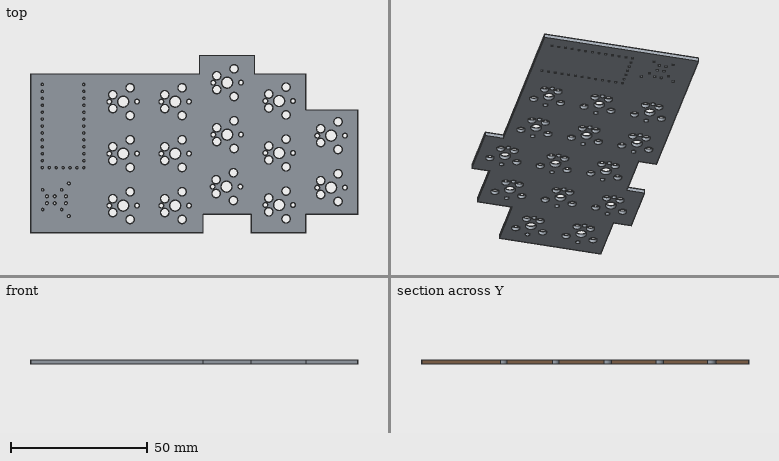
import cadquery as cq

length = 120.0
width = 65.0
thickness = 1.5

key_pitch = length / 6.3
grid = key_pitch / 15

main_top = 58.2
tab_left = 61.9
tab_right = 82.1
notch_left = 63.2
notch_right = 80.9
step_x = 100.9
step_bottom = 6.7
step_top = 45.0

stem_diameter = 4.0
contact_diameter = 3.0
peg_diameter = 1.7
peg_offset = 4 * grid
near_contact_x = -3 * grid
near_contact_y = 2 * grid
far_contact_x = 2 * grid
far_contact_y = 4 * grid

column_1_x = 34.0
bottom_left_key_y = 10.0
key_columns = [
    (column_1_x, bottom_left_key_y, 3),
    (column_1_x + key_pitch, bottom_left_key_y, 3),
    (column_1_x + 2 * key_pitch, 16.9, 3),
    (column_1_x + 3 * key_pitch, 10.2, 3),
    (column_1_x + 4 * key_pitch, 16.5, 2),
]
shifted_key_column = 2
key_shift = 0.2

header_diameter = 0.77
header_pitch = 2 * grid
header_x = 4.3
header_y = 23.9
header_columns = 7
header_rows = 13

jack_pin_diameter = 1.0
jack_center_y = 12.1
jack_inner_x = [6.0, 8.9, 13.0]
jack_inner_offset = grid
jack_outer_x = 14.0
jack_outer_offset = 6.0

button_pin_diameter = 0.8
button_pin_x = [4.5, 11.4]
button_pin_offset = 3.6


def build_plate():
    outline = [
        (0, 0),
        (notch_left, 0),
        (notch_left, step_bottom),
        (notch_right, step_bottom),
        (notch_right, 0),
        (step_x, 0),
        (step_x, step_bottom),
        (length, step_bottom),
        (length, step_top),
        (step_x, step_top),
        (step_x, main_top),
        (tab_right, main_top),
        (tab_right, width),
        (tab_left, width),
        (tab_left, main_top),
        (0, main_top),
    ]
    return cq.Workplane("XY").polyline(outline).close().extrude(thickness)


def drill(plate, points, diameter):
    cutters = cq.Workplane("XY").pushPoints(points).circle(diameter / 2).extrude(thickness)
    return plate.cut(cutters)


def key_centers():
    centers = []
    for column, (x, lowest_y, count) in enumerate(key_columns):
        for row in range(count):
            shifted = column == shifted_key_column and row == 0
            center_x = x - key_shift if shifted else x
            centers.append((center_x, lowest_y + row * key_pitch))
    return centers


def at_each_key(offsets):
    return [(x + dx, y + dy) for x, y in key_centers() for dx, dy in offsets]


def drill_switches(plate):
    pegs = [(-peg_offset, 0), (peg_offset, 0)]
    contacts = [
        (x, side * y)
        for x, y in [(near_contact_x, near_contact_y), (far_contact_x, far_contact_y)]
        for side in (-1, 1)
    ]
    plate = drill(plate, key_centers(), stem_diameter)
    plate = drill(plate, at_each_key(pegs), peg_diameter)
    return drill(plate, at_each_key(contacts), contact_diameter)


def drill_header(plate):
    right_column = header_columns - 1
    points = [
        (header_x + column * header_pitch, header_y + row * header_pitch)
        for column in range(header_columns)
        for row in range(header_rows)
        if row == 0 or column in (0, right_column)
    ]
    return drill(plate, points, header_diameter)


def mirrored_rows(x_positions, offset):
    return [(x, jack_center_y + side * offset) for x in x_positions for side in (-1, 1)]


def drill_jack(plate):
    pins = mirrored_rows(jack_inner_x, jack_inner_offset)
    pins += mirrored_rows([jack_outer_x], jack_outer_offset)
    return drill(plate, pins, jack_pin_diameter)


def drill_button(plate):
    return drill(plate, mirrored_rows(button_pin_x, button_pin_offset), button_pin_diameter)


result = build_plate()
result = drill_switches(result)
result = drill_header(result)
result = drill_jack(result)
result = drill_button(result)